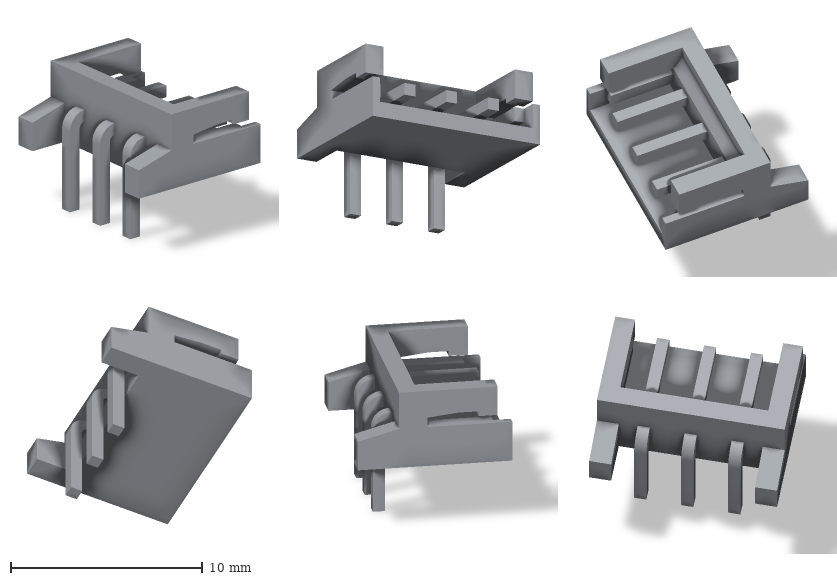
import cadquery as cq
import math

width = 10.0
housing_height = 4.2
base_depth = 6.02
base_height = 2.18
side_wall = 0.43
floor_height = 0.84
front_wall = 1.0
wall_foot_depth = 1.5
wall_slope_rise = 0.7

arm_width = 1.06
arm_end = 5.24
hook_length = 1.01
hook_bottom = 2.61
slot_height = 2.88
slot_flat_start = 3.15
slot_root_height = 2.7

shelf_inner_x = 4.01
shelf_end = 5.07
shelf_underside = 1.42
shelf_width = width / 2 - side_wall - shelf_inner_x

leg_length = 2.18
leg_width = 1.17
leg_tip_height = 1.6

pin_count = 3
pin_pitch = 2.5
pin_size = 0.65
pin_top = 2.3
pin_underside = pin_top - pin_size
pin_back = 5.52
pin_front = -1.0
pin_bottom = -3.22
bend_outer = 1.0
bend_inner = bend_outer - pin_size


def side_prism(outline, x_start, thickness):
    """Extrude a closed Y-Z outline along +X from x_start."""
    return cq.Workplane("YZ", origin=(x_start, 0, 0)).polyline(outline).close().extrude(thickness)


def make_base():
    base = cq.Workplane("XY").box(width, base_depth, base_height, centered=(True, False, False))
    cavity = (
        cq.Workplane("XY", origin=(0, wall_foot_depth, floor_height))
        .box(width - 2 * side_wall, base_depth, base_height, centered=(True, False, False))
    )
    return base.cut(cavity)


def make_front_wall():
    outline = [
        (0, 0),
        (0, housing_height),
        (front_wall, housing_height),
        (front_wall, slot_root_height + wall_slope_rise),
        (wall_foot_depth, slot_root_height),
        (wall_foot_depth, 0),
    ]
    return side_prism(outline, -width / 2, width)


def make_arm(x_start):
    hook_start = arm_end - hook_length
    outline = [
        (0, housing_height),
        (arm_end, housing_height),
        (arm_end, hook_bottom),
        (hook_start, hook_bottom),
        (hook_start, slot_height),
        (slot_flat_start, slot_height),
        (wall_foot_depth, slot_root_height),
        (0, slot_root_height),
    ]
    return side_prism(outline, x_start, arm_width)


def make_shelf(x_start):
    outline = [
        (0, shelf_underside),
        (0, base_height),
        (shelf_end, base_height),
        (shelf_end, shelf_underside),
    ]
    return side_prism(outline, x_start, shelf_width)


def make_leg(x_start):
    outline = [
        (0, 0),
        (0, base_height),
        (-leg_length, leg_tip_height),
        (-leg_length, 0),
    ]
    return side_prism(outline, x_start, leg_width)


def make_pin(x_center):
    bend_y = pin_front + bend_outer
    bend_z = pin_top - bend_outer
    diagonal = math.sqrt(0.5)
    return (
        cq.Workplane("YZ", origin=(x_center - pin_size / 2, 0, 0))
        .moveTo(pin_back, pin_top)
        .lineTo(bend_y, pin_top)
        .threePointArc(
            (bend_y - bend_outer * diagonal, bend_z + bend_outer * diagonal),
            (pin_front, bend_z),
        )
        .lineTo(pin_front, pin_bottom)
        .lineTo(pin_front + pin_size, pin_bottom)
        .lineTo(pin_front + pin_size, bend_z)
        .threePointArc(
            (bend_y - bend_inner * diagonal, bend_z + bend_inner * diagonal),
            (bend_y, pin_underside),
        )
        .lineTo(pin_back, pin_underside)
        .close()
        .extrude(pin_size)
    )


result = make_base().union(make_front_wall())
for arm_x in (-width / 2, width / 2 - arm_width):
    result = result.union(make_arm(arm_x))
for shelf_x in (-shelf_inner_x - shelf_width, shelf_inner_x):
    result = result.union(make_shelf(shelf_x))
for leg_x in (-width / 2, width / 2 - leg_width):
    result = result.union(make_leg(leg_x))
for index in range(pin_count):
    result = result.union(make_pin((index - (pin_count - 1) / 2) * pin_pitch))